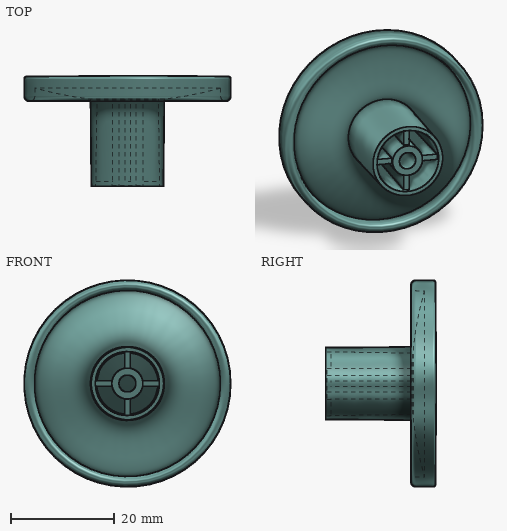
import cadquery as cq
import math

disc_radius = 20.0
total_depth = 21.45
back_crown = 0.15
rim_depth = 4.8
rim_rounding = 1.0
back_rounding = 0.5
rim_inner_radius = disc_radius - 2 * rim_rounding

tip_y = 0.0
back_rim_y = total_depth - back_crown
rim_front_y = back_rim_y - rim_depth
floor_apex_y = 16.55
floor_edge_y = 19.1

stem_tip_radius = 7.0
stem_root_radius = 7.15
bore_tip_radius = 6.2
bore_root_radius = 5.95

hub_radius = 3.0
hub_hole_radius = 1.65
hub_setback = 0.2
rib_width = 1.1
rib_setback = 1.0
joint_overlap = 0.2


def dome_height(radius, edge_radius, rise):
    """Drop from the apex at a radius, for a spherical cap of given edge and rise."""
    sphere_radius = (edge_radius**2 + rise**2) / (2 * rise)
    return sphere_radius - math.sqrt(sphere_radius**2 - radius**2)


def floor_y(radius):
    return floor_apex_y + dome_height(radius, rim_inner_radius, floor_edge_y - floor_apex_y)


def floor_point(radius):
    return (radius, floor_y(radius))


def make_body():
    """Disc with rounded rim, domed web and crowned back, in one turn with its hollow stem."""
    back_edge_radius = disc_radius - back_rounding
    back_middle = back_edge_radius / 2
    back_middle_y = total_depth - dome_height(back_middle, back_edge_radius, back_crown)
    rim_center_radius = disc_radius - rim_rounding
    rim_center_y = rim_front_y + rim_rounding
    corner = math.sqrt(0.5)
    back_corner = (
        back_edge_radius + back_rounding * corner,
        back_rim_y - back_rounding + back_rounding * corner,
    )
    web_middle = (stem_root_radius + rim_inner_radius) / 2
    profile = (
        cq.Workplane("XY")
        .moveTo(0, floor_apex_y)
        .threePointArc(floor_point(bore_root_radius / 2), floor_point(bore_root_radius))
        .lineTo(bore_tip_radius, tip_y)
        .lineTo(stem_tip_radius, tip_y)
        .lineTo(*floor_point(stem_root_radius))
        .threePointArc(floor_point(web_middle), floor_point(rim_inner_radius))
        .lineTo(rim_inner_radius, rim_center_y)
        .threePointArc((rim_center_radius, rim_front_y), (disc_radius, rim_center_y))
        .lineTo(disc_radius, back_rim_y - back_rounding)
        .threePointArc(back_corner, (back_edge_radius, back_rim_y))
        .threePointArc((back_middle, back_middle_y), (0, total_depth))
        .close()
    )
    return profile.revolve(360, (0, 0), (0, 1))


def make_hub():
    """Round tube on the axis, standing on the web."""
    length = floor_y(hub_radius) + joint_overlap - hub_setback
    return (
        cq.Workplane("XZ", origin=(0, hub_setback, 0))
        .circle(hub_radius)
        .circle(hub_hole_radius)
        .extrude(-length)
    )


def make_rib(angle):
    """One radial rib joining the hub to the stem wall."""
    start = (hub_radius + hub_hole_radius) / 2
    end = (stem_tip_radius + bore_tip_radius) / 2
    length = floor_y(end) + joint_overlap - rib_setback
    rib = cq.Workplane("XY").box(end - start, length, rib_width, centered=(False, False, True))
    return rib.translate((start, rib_setback, 0)).rotate((0, 0, 0), (0, 1, 0), angle)


result = make_body().union(make_hub())
for rib_angle in (0, 90, 180, 270):
    result = result.union(make_rib(rib_angle))